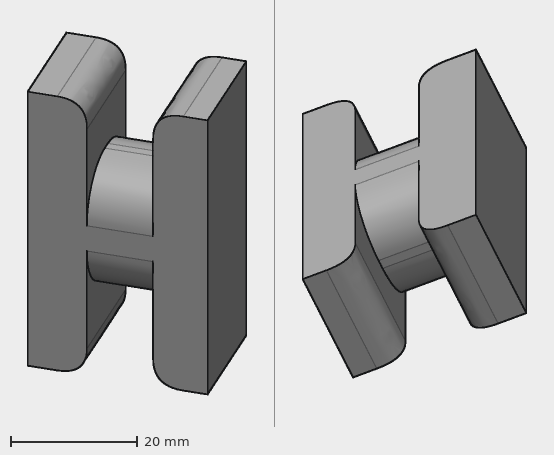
import cadquery as cq

width = 30.0
depth = 20.0
height = 50.0

left_plate = 9.9
gap = 11.0
plate_round = 5.0

hub_height = 23.0
hub_round = 9.2

outer_left = -width / 2
outer_right = width / 2
gap_left = outer_left + left_plate
gap_right = gap_left + gap


def plate(outer_x, inner_x):
    """Upright plate whose two inner corners are parabolic curves tangent to both faces."""
    half_height = height / 2
    direction = 1 if inner_x > outer_x else -1
    curve_x = inner_x - direction * plate_round
    curve_z = half_height - plate_round
    return (
        cq.Workplane("XZ", origin=(0, depth / 2, 0))
        .moveTo(outer_x, -half_height)
        .lineTo(curve_x, -half_height)
        .bezier([(curve_x, -half_height), (inner_x, -half_height), (inner_x, -curve_z)])
        .lineTo(inner_x, curve_z)
        .bezier([(inner_x, curve_z), (inner_x, half_height), (curve_x, half_height)])
        .lineTo(outer_x, half_height)
        .close()
        .extrude(depth)
    )


def hub():
    """Block filling the gap, with its four long edges heavily rounded."""
    block = cq.Workplane("XY").box(gap, depth, hub_height)
    block = block.edges("|X").fillet(hub_round)
    return block.translate(((gap_left + gap_right) / 2, 0, 0))


left = plate(outer_left, gap_left)
right = plate(outer_right, gap_right)
result = left.union(right).union(hub()).clean().solids()